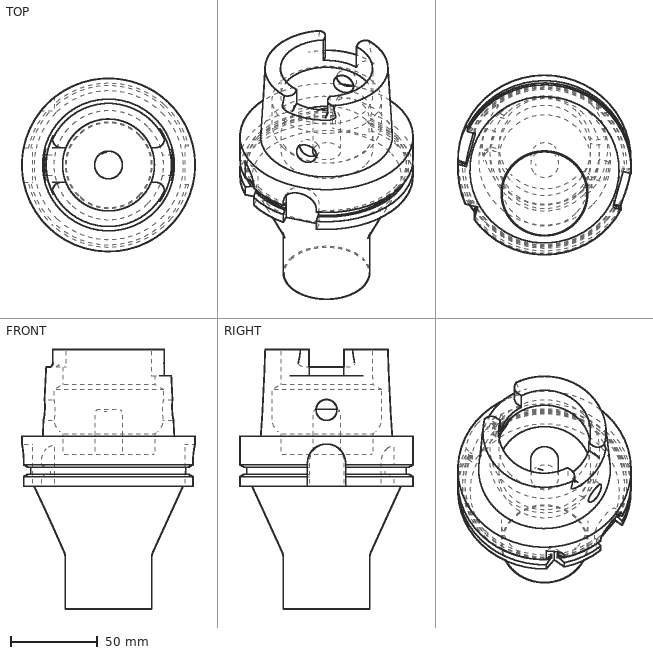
import cadquery as cq
import math


shank_length = 49.9
shank_base_radius = 38.0
shank_taper = 0.05
shank_top_radius = shank_base_radius - shank_taper * shank_length

flange_radius = 99.93 / 2
flange_height = 29.0
groove_depth_below_face = 20.0
groove_floor_width = 3.8
groove_mouth_width = 6.8
groove_floor_radius = 46.0
groove_flank_angle = 30.0
groove_flank_height = (groove_mouth_width - groove_floor_width) / 2
groove_step_radius = flange_radius - groove_flank_height / math.tan(math.radians(groove_flank_angle))

length_below_face = 100.0
cone_top_radius = 43.0
neck_radius = 25.0
cone_end_depth = 68.4
neck_blend_radius = 7.0
neck_end_chamfer = 0.5

mouth_radius = 53.06 / 2
chamber_radius = 63.09 / 2
mouth_depth = 20.0
clamp_shoulder_angle = 30.0
chamber_wall_depth = 39.8
chamber_curve_radius = 10.0
bore_floor_depth = 60.5
floor_radius = 50.0 / 2
floor_fillet_radius = mouth_radius - floor_radius

boss_radius = 8.0
boss_cone_base_depth = 37.5
boss_cone_height = 1.9
boss_cone_angle = 15.0
boss_tip_radius = 1.55

keyway_width = 20.0
left_keyway_depth = 10.0
right_keyway_depth = 15.0
lug_corner_radius = 4.9
lug_corner_reach = 36.0
lug_trim_length = 15.0
left_keyway_floor_fillet = 2.0

radial_hole_radius = 6.0
radial_hole_height = 15.0

left_slot_width = 20.0
right_slot_width = 22.0
notch_tool_width = 20.0
slot_top_depth = 4.6
slot_floor_distance = 44.0
notch_offset = 31.4


def revolve_profile(profile):
    return profile.close().revolve(360, (0, 0, 0), (0, 1, 0))


def turned_body():
    groove_mouth_top = -groove_depth_below_face + groove_mouth_width / 2
    groove_floor_top = -groove_depth_below_face + groove_floor_width / 2
    groove_floor_bottom = groove_floor_top - groove_floor_width
    groove_mouth_bottom = groove_mouth_top - groove_mouth_width

    cone_height = cone_end_depth - flange_height
    cone_angle = math.atan2(cone_top_radius - neck_radius, cone_height)
    blend_tangent = neck_blend_radius * math.tan(cone_angle / 2)
    blend_start = (
        neck_radius + blend_tangent * math.sin(cone_angle),
        -cone_end_depth + blend_tangent * math.cos(cone_angle),
    )
    blend_end = (neck_radius, -cone_end_depth - blend_tangent)
    blend_center_radius = neck_radius + neck_blend_radius
    blend_middle = (
        blend_center_radius - neck_blend_radius * math.cos(cone_angle / 2),
        blend_end[1] + neck_blend_radius * math.sin(cone_angle / 2),
    )

    profile = (
        cq.Workplane("XZ")
        .moveTo(0, shank_length)
        .lineTo(shank_top_radius, shank_length)
        .lineTo(shank_base_radius, 0)
        .lineTo(flange_radius, 0)
        .lineTo(flange_radius, groove_mouth_top)
        .lineTo(groove_step_radius, groove_floor_top)
        .lineTo(groove_floor_radius, groove_floor_top)
        .lineTo(groove_floor_radius, groove_floor_bottom)
        .lineTo(groove_step_radius, groove_floor_bottom)
        .lineTo(flange_radius, groove_mouth_bottom)
        .lineTo(flange_radius, -flange_height)
        .lineTo(cone_top_radius, -flange_height)
        .lineTo(*blend_start)
        .threePointArc(blend_middle, blend_end)
        .lineTo(neck_radius, -length_below_face + neck_end_chamfer)
        .lineTo(neck_radius - neck_end_chamfer, -length_below_face)
        .lineTo(0, -length_below_face)
    )
    return revolve_profile(profile)


def clamping_bore():
    floor_height = shank_length - bore_floor_depth
    shoulder_top = shank_length - mouth_depth
    shoulder_drop = (chamber_radius - mouth_radius) * math.tan(math.radians(clamp_shoulder_angle))

    curve_top = shank_length - chamber_wall_depth
    curve_center_radius = chamber_radius - chamber_curve_radius
    curve_angle = math.acos((mouth_radius - curve_center_radius) / chamber_curve_radius)
    curve_bottom = curve_top - chamber_curve_radius * math.sin(curve_angle)
    profile = (
        cq.Workplane("XZ")
        .moveTo(0, shank_length)
        .lineTo(mouth_radius, shank_length)
        .lineTo(mouth_radius, shoulder_top)
        .lineTo(chamber_radius, shoulder_top - shoulder_drop)
        .lineTo(chamber_radius, curve_top)
        .radiusArc((mouth_radius, curve_bottom), chamber_curve_radius)
        .lineTo(mouth_radius, floor_height + floor_fillet_radius)
        .radiusArc((floor_radius, floor_height), floor_fillet_radius)
        .lineTo(0, floor_height)
    )
    return revolve_profile(profile)


def coolant_boss():
    floor_height = shank_length - bore_floor_depth
    cone_base = shank_length - boss_cone_base_depth
    cone_top = cone_base + boss_cone_height
    cone_angle = math.radians(boss_cone_angle)
    cone_top_edge = boss_radius - boss_cone_height * math.tan(cone_angle)
    tip_center_radius = cone_top_edge - boss_tip_radius * math.cos(cone_angle)
    tip_center_height = cone_top - boss_tip_radius * math.sin(cone_angle)
    middle_angle = (cone_angle + math.pi / 2) / 2
    tip_middle = (
        tip_center_radius + boss_tip_radius * math.cos(middle_angle),
        tip_center_height + boss_tip_radius * math.sin(middle_angle),
    )
    tip_end = (tip_center_radius, tip_center_height + boss_tip_radius)
    profile = (
        cq.Workplane("XZ")
        .moveTo(0, floor_height)
        .lineTo(boss_radius, floor_height)
        .lineTo(boss_radius, cone_base)
        .lineTo(cone_top_edge, cone_top)
        .threePointArc(tip_middle, tip_end)
        .lineTo(0, tip_end[1])
    )
    return revolve_profile(profile)


def keyway_cutter(side, depth, floor_fillet):
    """Keyway on the +X (side 1) or -X (side -1) half: a straight slot plus rounded lug corners."""
    outer = flange_radius
    half_width = keyway_width / 2
    floor = shank_length - depth

    center_y = half_width + lug_corner_radius
    center_x = math.sqrt((lug_corner_reach - lug_corner_radius) ** 2 - center_y**2)
    end_angle = math.atan2(center_y, center_x)
    middle_angle = (end_angle - math.pi / 2) / 2
    middle_x = center_x + lug_corner_radius * math.cos(middle_angle)
    middle_y = center_y + lug_corner_radius * math.sin(middle_angle)
    end_x = lug_corner_reach * math.cos(end_angle)
    end_y = lug_corner_reach * math.sin(end_angle)
    trim_x = end_x - lug_trim_length * math.sin(end_angle)
    trim_y = end_y + lug_trim_length * math.cos(end_angle)

    relief = (
        cq.Workplane("XY")
        .workplane(offset=floor)
        .moveTo(0, -half_width)
        .lineTo(side * center_x, -half_width)
        .threePointArc((side * middle_x, -middle_y), (side * end_x, -end_y))
        .lineTo(side * trim_x, -trim_y)
        .lineTo(side * outer, -trim_y)
        .lineTo(side * outer, trim_y)
        .lineTo(side * trim_x, trim_y)
        .lineTo(side * end_x, end_y)
        .threePointArc((side * middle_x, middle_y), (side * center_x, half_width))
        .lineTo(0, half_width)
        .close()
        .extrude(depth)
    )
    if floor_fillet > 0:
        relief = relief.faces("<Z").edges().fillet(floor_fillet)
    slot = cq.Workplane("XY").box(outer, keyway_width, depth, centered=(False, True, False))
    slot = slot.translate((min(0, side * outer), 0, floor))
    return relief.union(slot)


def radial_hole():
    return (
        cq.Workplane("YZ")
        .center(0, radial_hole_height)
        .circle(radial_hole_radius)
        .extrude(shank_base_radius, both=True)
    )


def flange_slot_cutter(side, center_y, width, floor_distance):
    """Round-topped slot, open at the flange underside, milled from the +X or -X side."""
    radius = width / 2
    profile = (
        cq.Workplane("YZ")
        .workplane(offset=side * floor_distance)
        .moveTo(center_y - radius, -flange_height)
        .lineTo(center_y - radius, -slot_top_depth - radius)
        .threePointArc((center_y, -slot_top_depth), (center_y + radius, -slot_top_depth - radius))
        .lineTo(center_y + radius, -flange_height)
        .close()
    )
    return profile.extrude(side * flange_radius)


result = turned_body().cut(clamping_bore()).union(coolant_boss())
result = result.cut(keyway_cutter(-1, left_keyway_depth, left_keyway_floor_fillet))
result = result.cut(keyway_cutter(1, right_keyway_depth, 0))
result = result.cut(radial_hole().cut(coolant_boss()))
result = result.cut(flange_slot_cutter(-1, 0, left_slot_width, slot_floor_distance))
result = result.cut(flange_slot_cutter(1, 0, right_slot_width, slot_floor_distance))
notch_center = notch_offset + notch_tool_width / 2
result = result.cut(flange_slot_cutter(-1, notch_center, notch_tool_width, notch_offset))